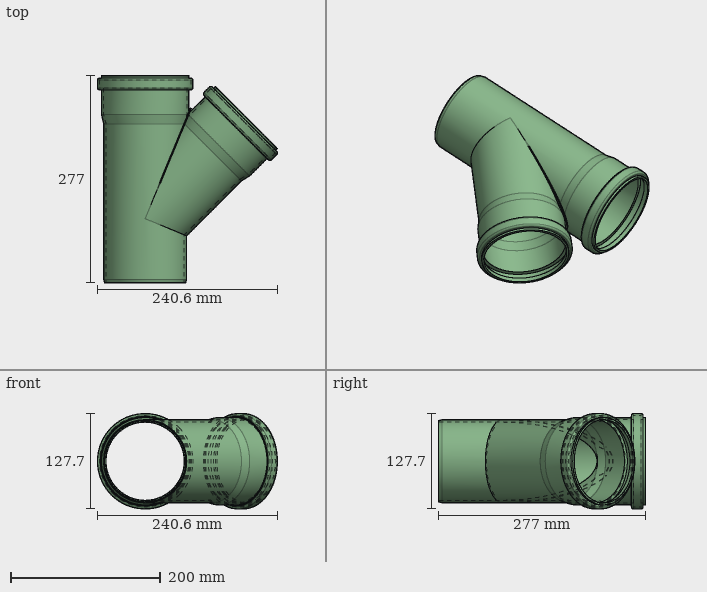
import cadquery as cq
import math

run_length = 277.0
branch_height = 86.0
branch_length = 191.0
branch_angle = 45.0

pipe_radius = 111.0 / 2
bore_radius = 104.5 / 2
socket_radius = 117.0 / 2
lip_radius = 117.2 / 2
socket_bore_radius = 111.4 / 2
collar_radius = 127.7 / 2
groove_radius = 122.0 / 2

lip_depth = 3.3
collar_fillet = 2.8
collar_front = lip_depth + collar_fillet
collar_end = 19.0
collar_back = collar_end - collar_fillet
collar_foot = 19.5
taper_start = 52.0
taper_end = 64.5
foot_radius = 119.7 / 2

spigot_chamfer_length = 4.7
spigot_chamfer_depth = 1.5

web_thickness = 1.5
web_reach = 159.5
web_half_height = 55.0


def revolve(outline):
    """Solid of revolution about Y from a closed (radius, height) outline."""
    return outline.close().revolve(360, (0, 0, 0), (0, 1, 0))


def outer_body(start, mouth, start_chamfer_depth=0):
    """Solid envelope of a pipe with a collared socket at its mouth."""
    collar_edge = collar_radius - collar_fillet
    arc_offset = collar_fillet * math.sin(math.radians(45))
    arc_radius = collar_edge + arc_offset
    return revolve(
        cq.Workplane("XY")
        .moveTo(0, start)
        .lineTo(pipe_radius - start_chamfer_depth, start)
        .lineTo(pipe_radius, start + spigot_chamfer_length)
        .lineTo(pipe_radius, mouth - taper_end)
        .lineTo(socket_radius, mouth - taper_start)
        .lineTo(socket_radius, mouth - collar_foot)
        .lineTo(foot_radius, mouth - collar_foot)
        .lineTo(foot_radius, mouth - collar_end)
        .lineTo(collar_edge, mouth - collar_end)
        .threePointArc((arc_radius, mouth - collar_back - arc_offset), (collar_radius, mouth - collar_back))
        .lineTo(collar_radius, mouth - collar_front)
        .threePointArc((arc_radius, mouth - collar_front + arc_offset), (collar_edge, mouth - lip_depth))
        .lineTo(lip_radius, mouth - lip_depth)
        .lineTo(lip_radius, mouth)
        .lineTo(0, mouth)
    )


def inner_bore(start, mouth):
    """Pipe bore, widened socket and the seal groove inside the collar."""
    return revolve(cq.Workplane("XY").polyline([
        (0, start),
        (bore_radius, start),
        (bore_radius, mouth - taper_end),
        (socket_bore_radius, mouth - taper_start),
        (socket_bore_radius, mouth - collar_back),
        (groove_radius, mouth - collar_back),
        (groove_radius, mouth - collar_front),
        (socket_bore_radius, mouth - collar_front),
        (socket_bore_radius, mouth),
        (0, mouth),
    ]))


def tilt(body, angle):
    """Swing a body from the run axis and lift it to the axis crossing."""
    return body.rotate((0, 0, 0), (0, 0, 1), -angle).translate((0, branch_height, 0))


run = outer_body(0, run_length, spigot_chamfer_depth)
branch = tilt(outer_body(0, branch_length), branch_angle)

web_outline = (
    cq.Workplane("YZ", origin=(-web_thickness / 2, 0, 0))
    .moveTo(0, -web_half_height)
    .ellipseArc(web_reach, web_half_height, -90, 90, startAtCurrent=True)
    .close()
)
web = tilt(web_outline.extrude(web_thickness), branch_angle / 2)

result = (
    run.union(branch)
    .union(web)
    .cut(inner_bore(0, run_length))
    .cut(tilt(inner_bore(0, branch_length), branch_angle))
)